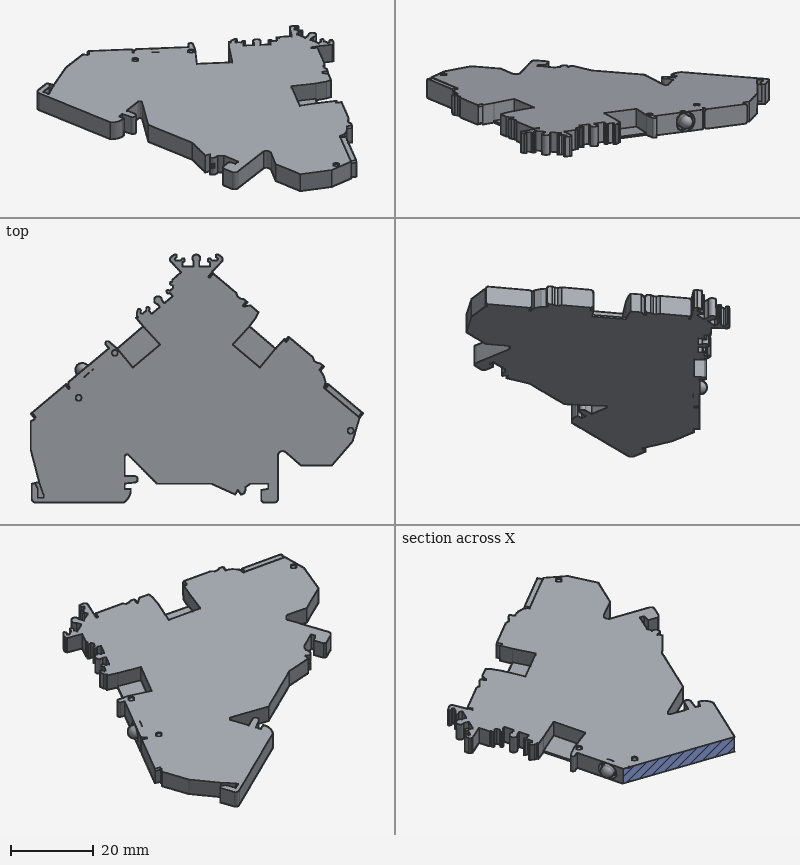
import cadquery as cq
import math


LENGTH = 80.3
HEIGHT = 60.0
THICKNESS = 5.0
CENTRE_X = 40.0
FLANK_ANGLE = 40.0

PLATE_LENGTH = 11.25
PLATE_WIDTH = 1.4
PLATE_CHAMFER = 0.4
LOW_PLATE_STEP = 0.1

COMB_HEIGHT = 3.0
CROWN_FLOOR_Y = HEIGHT - COMB_HEIGHT
COMB_DEPTH = 1.45
COMB_HALF_WIDTH = 3.7
POST_HALF_WIDTH = 0.7
POST_HEAD_RADIUS = 1.0
CROWN_POST_HEIGHT = 2.9
FLANK_POST_HEIGHT = 2.5
FLANK_COMB_ORIGIN = (31.7, 47.7)

POCKET_FLOOR = 0.5
LATCH_FLOOR = 0.65

DIMPLE_DIAMETER = 1.45
DIMPLE_DEPTH = 0.4
DIMPLE_CENTRES = [(20.3, 36.1), (11.6, 25.3), (77.25, 17.35)]

LAMP_CENTRE = (12.45, 32.05)
LAMP_RADIUS = 1.7
LAMP_RECESS_DIAMETER = 4.8
LAMP_RECESS_DEPTH = 1.6

FOOT_RADIUS = 1.0
LEFT_FOOT_START_X = 0.25
LEFT_FOOT_END_X = 22.7
LEFT_TOE_X = 24.2
RIGHT_FOOT_START_X = 55.65
RIGHT_FOOT_END_X = 59.75
RAIL_SEAT_Y = 4.5
RIGHT_END_Y = 8.9

LIP_SLOT_HEIGHT = 1.3
LIP_SLOT_CORNERS = [(50.75, 1.6), (51.55, 1.6), (51.55, 2.7), (50.75, 2.7)]


def offset(origin, angle, along, across):
    """Point at (along, across) in a frame at origin turned by angle degrees."""
    c = math.cos(math.radians(angle))
    s = math.sin(math.radians(angle))
    return (origin[0] + along * c - across * s, origin[1] + along * s + across * c)


def extrude(points, bottom=0.0, top=THICKNESS):
    return cq.Workplane("XY").workplane(offset=bottom).polyline(points).close().extrude(top - bottom)


def mirror(point):
    return (2 * CENTRE_X - point[0], point[1])


POCKET_CORNERS = [(27.15, 42.6), (31.25, 38.15), (24.65, 32.6), (20.9, 37.2)]

LOW_PLATE_START = (LENGTH - PLATE_LENGTH * math.cos(math.radians(FLANK_ANGLE)), 28.75)
LEFT_PLATE_START = (0.0, 21.45)
UPPER_PLATE_START = (43.8, 55.6)
MIDDLE_PLATE_START = (62.25, 40.1)


def plate_seat(start, angle):
    """The two inner corners of a marker plate, where it rests on the body."""
    return [offset(start, angle, along, -PLATE_WIDTH) for along in (0.0, PLATE_LENGTH)]


def make_body():
    left_seat = plate_seat(LEFT_PLATE_START, FLANK_ANGLE)
    upper_seat = plate_seat(UPPER_PLATE_START, -FLANK_ANGLE)
    middle_seat = plate_seat(MIDDLE_PLATE_START, -FLANK_ANGLE)
    low_seat = plate_seat(LOW_PLATE_START, -FLANK_ANGLE)
    outline = cq.Workplane("XY").moveTo(LEFT_FOOT_START_X + FOOT_RADIUS, 0)
    outline = (
        outline.lineTo(22.5, 0)
        .threePointArc((23.6, 1.1), (LEFT_TOE_X, 2.6))
        .lineTo(LEFT_TOE_X, 3.3)
        .lineTo(LEFT_FOOT_END_X, 3.3)
        .lineTo(LEFT_FOOT_END_X, 4.6)
        .lineTo(25.1, 4.8)
        .threePointArc((25.85, 5.6), (25.1, 6.4))
        .lineTo(LEFT_FOOT_END_X, 6.4)
        .lineTo(LEFT_FOOT_END_X, 11.0)
        .threePointArc((23.05, 11.6), (23.7, 11.4))
        .lineTo(30.5, RAIL_SEAT_Y)
        .lineTo(43.7, RAIL_SEAT_Y)
    )
    outline = (
        outline.lineTo(49.4, 1.9)
        .lineTo(50.0, 3.05)
        .lineTo(50.75, 1.9)
        .threePointArc((51.55, 2.3), (51.9, 3.1))
        .lineTo(51.9, 3.7)
        .lineTo(53.0, RAIL_SEAT_Y)
        .lineTo(57.35, RAIL_SEAT_Y)
        .lineTo(57.35, 3.4)
        .lineTo(RIGHT_FOOT_START_X, 3.05)
        .lineTo(RIGHT_FOOT_START_X, FOOT_RADIUS / 2)
        .lineTo(RIGHT_FOOT_START_X + FOOT_RADIUS / 2, 0)
        .lineTo(RIGHT_FOOT_END_X - FOOT_RADIUS, 0)
        .radiusArc((RIGHT_FOOT_END_X, FOOT_RADIUS), -FOOT_RADIUS)
    )
    outline = (
        outline.lineTo(RIGHT_FOOT_END_X, 11.65)
        .threePointArc((60.55, 12.4), (61.6, 12.1))
        .lineTo(65.3, RIGHT_END_Y)
        .lineTo(72.7, RIGHT_END_Y)
        .lineTo(77.7, 14.8)
        .lineTo(*low_seat[1])
        .lineTo(*low_seat[0])
        .lineTo(71.2, 29.1)
        .lineTo(70.75, 30.7)
        .lineTo(*middle_seat[1])
        .lineTo(*middle_seat[0])
        .lineTo(61.3, 39.5)
    )
    outline = (
        outline.lineTo(*mirror(POCKET_CORNERS[3]))
        .lineTo(*mirror(POCKET_CORNERS[0]))
        .lineTo(54.45, 44.7)
        .lineTo(55.0, 45.9)
        .lineTo(53.1, 47.6)
        .lineTo(52.45, 47.55)
        .lineTo(*upper_seat[1])
        .lineTo(*upper_seat[0])
        .lineTo(*UPPER_PLATE_START)
        .lineTo(36.2, UPPER_PLATE_START[1])
    )
    outline = (
        outline.lineTo(34.1, 53.7)
        .lineTo(*offset(FLANK_COMB_ORIGIN, FLANK_ANGLE, COMB_HALF_WIDTH, 0))
        .lineTo(*offset(FLANK_COMB_ORIGIN, FLANK_ANGLE, -COMB_HALF_WIDTH, 0))
        .lineTo(25.4, 44.65)
        .lineTo(*POCKET_CORNERS[0])
        .lineTo(*POCKET_CORNERS[3])
        .lineTo(18.95, 38.9)
        .threePointArc((18.3, 38.95), (18.15, 38.1))
        .lineTo(18.9, 37.3)
        .lineTo(9.1, 29.1)
        .lineTo(9.15, 28.1)
        .lineTo(*left_seat[1])
        .lineTo(*left_seat[0])
    )
    outline = (
        outline.lineTo(1.0, 20.15)
        .lineTo(0, 19.7)
        .lineTo(0, 12.7)
        .lineTo(2.0, 5.0)
        .lineTo(LEFT_FOOT_START_X, 4.6)
        .lineTo(LEFT_FOOT_START_X, FOOT_RADIUS)
        .radiusArc((LEFT_FOOT_START_X + FOOT_RADIUS, 0), -FOOT_RADIUS)
    )
    return outline.close().extrude(THICKNESS)


def make_comb(origin, angle, post_height):
    """Centre post, two barbs and two hooks rising from a floor through origin."""
    def place(points):
        return [offset(origin, angle, along, across) for along, across in points]

    def block(half_width, bottom, top):
        left, right = -half_width, half_width
        return extrude(place([(left, bottom), (right, bottom), (right, top), (left, top)]))

    base = block(COMB_HALF_WIDTH, -COMB_DEPTH, 0)
    post = block(POST_HALF_WIDTH, -COMB_DEPTH, post_height - POST_HEAD_RADIUS)
    head = (
        cq.Workplane("XY")
        .center(*offset(origin, angle, 0, post_height - POST_HEAD_RADIUS))
        .circle(POST_HEAD_RADIUS)
        .extrude(THICKNESS)
    )
    comb = base.union(post).union(head)
    claw = [
        (3.3, -COMB_DEPTH), (3.3, 1.0), (2.8, 1.2), (2.8, 1.8), (3.05, 2.0), (3.4, 1.9), (3.8, 1.45),
        (5.0, 1.45), (5.2, 1.85), (4.7, 2.25), (4.7, 2.8), (5.1, 3.0), (6.1, 2.3), (6.4, 1.8), (6.35, 1.4),
        (COMB_HALF_WIDTH, -COMB_DEPTH),
    ]
    for side in (1, -1):
        comb = comb.union(extrude(place([(side * along, across) for along, across in claw])))
    return comb


def make_plate(start, angle, thickness=THICKNESS):
    """Marker plate with its end edges chamfered."""
    return (
        cq.Workplane("XY")
        .box(PLATE_LENGTH, PLATE_WIDTH, thickness, centered=False)
        .edges("|Y")
        .chamfer(PLATE_CHAMFER)
        .translate((0, -PLATE_WIDTH, 0))
        .rotate((0, 0, 0), (0, 0, 1), angle)
        .translate((start[0], start[1], 0))
    )


def plate_dip(start, angle):
    """Finger dip across the outer edge of a marker plate."""
    dip = [(7.55, 0.1), (8.5, -0.5), (9.3, -0.4), (10.1, 0.1)]
    return extrude([offset(start, angle, along, across) for along, across in dip])


result = make_body()
result = result.union(make_comb((CENTRE_X, CROWN_FLOOR_Y), 0, CROWN_POST_HEIGHT))
result = result.union(make_comb(FLANK_COMB_ORIGIN, FLANK_ANGLE, FLANK_POST_HEIGHT))

result = result.union(make_plate(LEFT_PLATE_START, FLANK_ANGLE))
result = result.union(make_plate(LOW_PLATE_START, -FLANK_ANGLE, THICKNESS - LOW_PLATE_STEP))
for plate_start in (UPPER_PLATE_START, MIDDLE_PLATE_START):
    result = result.union(make_plate(plate_start, -FLANK_ANGLE))
    result = result.cut(plate_dip(plate_start, -FLANK_ANGLE))

result = result.cut(extrude(POCKET_CORNERS, POCKET_FLOOR))
result = result.cut(extrude([mirror(corner) for corner in POCKET_CORNERS], POCKET_FLOOR))

latch_slot = [(1.0, 4.7), (1.7, 3.45), (1.7, 1.1), (3.1, 1.1), (3.1, 1.8), (2.0, 5.0)]
result = result.cut(extrude(latch_slot, LATCH_FLOOR))

lip_slot_bottom = (THICKNESS - LIP_SLOT_HEIGHT) / 2
result = result.cut(extrude(LIP_SLOT_CORNERS, lip_slot_bottom, lip_slot_bottom + LIP_SLOT_HEIGHT))

result = result.cut(
    cq.Workplane("XY", origin=(0, 0, THICKNESS - DIMPLE_DEPTH))
    .pushPoints(DIMPLE_CENTRES)
    .circle(DIMPLE_DIAMETER / 2)
    .extrude(DIMPLE_DEPTH)
)

lamp_face = cq.Plane(
    origin=(LAMP_CENTRE[0], LAMP_CENTRE[1], THICKNESS / 2),
    xDir=(0, 0, 1),
    normal=(-math.sin(math.radians(FLANK_ANGLE)), math.cos(math.radians(FLANK_ANGLE)), 0),
)
recess = cq.Workplane(lamp_face).circle(LAMP_RECESS_DIAMETER / 2).extrude(-LAMP_RECESS_DEPTH)
lamp_stem = cq.Workplane(lamp_face).circle(LAMP_RADIUS).extrude(-LAMP_RECESS_DEPTH)
lamp_dome = cq.Workplane(lamp_face).sphere(LAMP_RADIUS)
result = result.cut(recess).union(lamp_stem).union(lamp_dome)